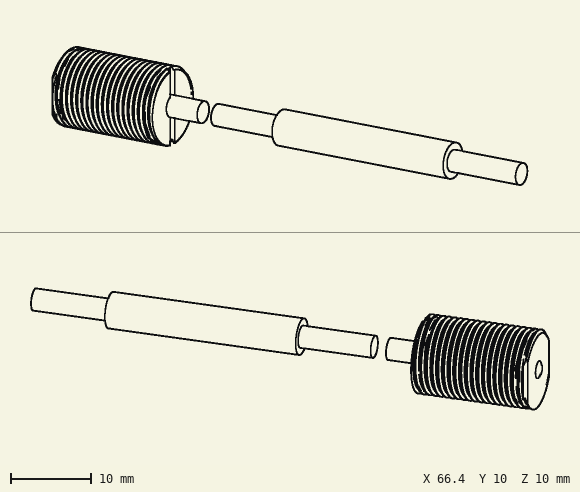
import cadquery as cq
import math

thread_diameter = 10.0
thread_pitch = 0.75
thread_length = 15.0
thread_start_angle = 120.0
crest_width = thread_pitch / 8
root_width = thread_pitch / 4
flank_angle = 30.0
flats_width = 8.0
flats_length = 0.6
slot_width = 1.0
slot_depth = 0.6

lens_height = 0.41
lens_base_radius = 1.1
lens_sphere_radius = (lens_base_radius**2 + lens_height**2) / (2 * lens_height)

cable_diameter = 2.8
stub_length = 4.5
cable_gap = 2.0
cable_length = 44.5
sleeve_diameter = 4.6
sleeve_length = 25.0
sleeve_rear_distance = 10.0

total_length = lens_height + thread_length + stub_length + cable_gap + cable_length
lens_tip_x = -total_length / 2
face_x = lens_tip_x + lens_height
head_rear_x = face_x + thread_length
cable_start_x = head_rear_x + stub_length + cable_gap
cable_end_x = cable_start_x + cable_length
sleeve_start_x = cable_end_x - sleeve_rear_distance - sleeve_length


def rod(start_x, length, diameter):
    """Cylinder on the X axis."""
    return cq.Workplane("YZ", origin=(start_x, 0, 0)).circle(diameter / 2).extrude(length)


def thread_groove():
    """Right-handed helical groove, one pitch longer than the head at both ends."""
    crest_radius = thread_diameter / 2
    tan_flank = math.tan(math.radians(flank_angle))
    depth = (thread_pitch - crest_width - root_width) / 2 / tan_flank
    root_radius = crest_radius - depth
    outer_radius = crest_radius + depth
    half_root = root_width / 2
    half_mouth = (thread_pitch - crest_width) / 2
    start_height = -thread_pitch

    helix = cq.Wire.makeHelix(
        thread_pitch, thread_length + 2 * thread_pitch, root_radius, cq.Vector(0, 0, start_height)
    )
    groove = (
        cq.Workplane("XZ")
        .polyline([
            (root_radius, start_height - half_root),
            (crest_radius, start_height - half_mouth),
            (outer_radius, start_height - half_mouth),
            (outer_radius, start_height + half_mouth),
            (crest_radius, start_height + half_mouth),
            (root_radius, start_height + half_root),
        ])
        .close()
        .sweep(cq.Workplane(helix), isFrenet=True)
    )
    third_turn = 360 / 3
    return (
        groove
        .rotate((0, 0, 0), (1, 1, 1), third_turn)
        .rotate((0, 0, 0), (1, 0, 0), thread_start_angle)
        .translate((face_x, 0, 0))
    )


def flats_cutter():
    """Material outside the two flats at the front end of the head."""
    ring = cq.Workplane("XY").box(2 * flats_length, 2 * thread_diameter, 2 * thread_diameter)
    core = cq.Workplane("XY").box(2 * flats_length, flats_width, 2 * thread_diameter)
    return ring.cut(core).translate((face_x, 0, 0))


def lens():
    """Spherical cap in front of the head, revolved about X."""
    half_arc_angle = math.asin(lens_base_radius / lens_sphere_radius) / 2
    arc_middle = (
        lens_tip_x + lens_sphere_radius * (1 - math.cos(half_arc_angle)),
        lens_sphere_radius * math.sin(half_arc_angle),
    )
    return (
        cq.Workplane("XY")
        .moveTo(lens_tip_x, 0)
        .threePointArc(arc_middle, (face_x, lens_base_radius))
        .lineTo(face_x, 0)
        .close()
        .revolve(360, (0, 0, 0), (1, 0, 0))
    )


def slot_cutter():
    """Slot across the rear face, running along Z."""
    slot = cq.Workplane("XY").box(2 * slot_depth, slot_width, 2 * thread_diameter)
    return slot.translate((head_rear_x, 0, 0))


def build_head():
    """Threaded head with its flats, lens and cable stub."""
    head = rod(face_x, thread_length, thread_diameter)
    head = head.cut(thread_groove())
    head = head.cut(flats_cutter())
    head = head.cut(slot_cutter())
    head = head.union(lens())
    stub_start_x = head_rear_x - slot_depth
    return head.union(rod(stub_start_x, slot_depth + stub_length, cable_diameter))


def build_cable():
    """Continuing cable with its protective sleeve."""
    cable = rod(cable_start_x, cable_length, cable_diameter)
    return cable.union(rod(sleeve_start_x, sleeve_length, sleeve_diameter))


head = build_head()
cable = build_cable()

result = cq.Compound.makeCompound([head.val(), cable.val()])